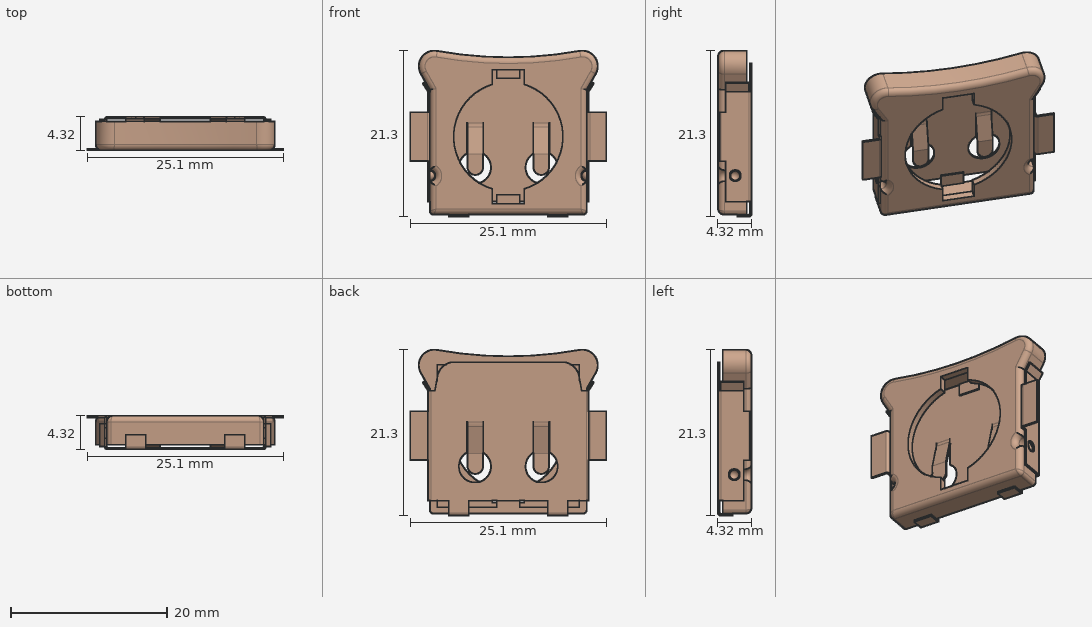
import cadquery as cq
import math

SIDES = (-1, 1)

housing_depth = 3.72
half_width = 10.06
bottom_z = -10.0
ear_radius = 2.0
ear_x = 9.48
ear_z = 9.03
flank_start_z = 6.0
top_middle_z = 10.18
front_round = 0.78
bottom_corner_round = 0.5

front_wall = 1.0
side_wall = 0.95
bottom_wall = 0.85
coin_window_radius = 7.0
slot_half_width = 2.04
slot_half_height = 8.57
lip_half_width = 1.49
lip_inner_z = 7.45
lip_thickness = 0.2
groove_radius = 0.72
groove_z = -5.0

sheet = 0.25
bend_inner_radius = 0.1
bend_outer_radius = bend_inner_radius + sheet
back_y = 4.32
plate_front_y = back_y - sheet
wall_outer_x = half_width + sheet
wall_front_y = 1.0
wall_top_z = 5.77
wall_bottom_z = -8.32

crown_z = 9.43
crown_corner_radius = 2.2
crown_corner_x = 6.9
crown_base_x = 9.4

flare_rise = 1.2
flare_run = 0.9
tab_half_height = 3.15
tab_end_x = 12.575
foot_inner_x = 5.04
foot_outer_x = 7.63
foot_front_y = 2.45

dimple_y = 2.22
dimple_radius = 0.65
dimple_hollow_radius = 0.62
dimple_rim_radius = 0.73

finger_inner_x = 3.21
finger_width = 2.03
finger_side_gap = 0.06
finger_root_z = 1.75
finger_bend_radius = 1.82
finger_angle = math.radians(14.9)
finger_knee_z = -2.2
finger_tip_z = -4.92
finger_tip_flat = 0.004
finger_hole_x = 4.28
finger_hole_z = -3.95
finger_hole_radius = 2.05


def front_plane(y):
    """Sketch plane in X and Z at depth y; extruding by a negative length goes toward +Y."""
    return cq.Workplane("XZ", origin=(0, y, 0))


def box(x_range, y_range, z_range):
    """Block between two limits on each axis."""
    low, high = zip(*(sorted(limits) for limits in (x_range, y_range, z_range)))
    size = [b - a for a, b in zip(low, high)]
    return cq.Workplane("XY").box(*size, centered=False).translate(low)


def tangent_point(point, center, radius, turn):
    """Where a line from an outside point touches a circle; turn is +1 or -1 for the side it passes."""
    dx = center[0] - point[0]
    dz = center[1] - point[1]
    distance = math.hypot(dx, dz)
    length = math.sqrt(distance**2 - radius**2)
    angle = math.atan2(dz, dx) + turn * math.asin(radius / distance)
    return (point[0] + length * math.cos(angle), point[1] + length * math.sin(angle))


def mirrored(point):
    return (-point[0], point[1])


def housing_blank():
    """Block with two ears joined by a hollow top arc, its front rim rounded over."""
    flank_start = (half_width, flank_start_z)
    ear_center = (ear_x, ear_z)
    flank_end = tangent_point(flank_start, ear_center, ear_radius, -1)

    drop = top_middle_z - ear_z
    top_radius = (ear_x**2 + drop**2 - ear_radius**2) / (2 * (ear_radius - drop))
    lean = math.asin(ear_x / (top_radius + ear_radius))
    ear_top = (ear_x - ear_radius * math.sin(lean), ear_z + ear_radius * math.cos(lean))
    diagonal = ear_radius * math.sqrt(0.5)
    ear_outer = (ear_x + diagonal, ear_z + diagonal)

    outline = (
        front_plane(0)
        .moveTo(-half_width, bottom_z)
        .lineTo(half_width, bottom_z)
        .lineTo(*flank_start)
        .lineTo(*flank_end)
        .threePointArc(ear_outer, ear_top)
        .threePointArc((0, top_middle_z), mirrored(ear_top))
        .threePointArc(mirrored(ear_outer), mirrored(flank_end))
        .lineTo(*mirrored(flank_start))
        .close()
    )
    blank = outline.extrude(-housing_depth)
    grooves = (
        front_plane(0)
        .pushPoints([(side * half_width, groove_z) for side in SIDES])
        .circle(groove_radius)
        .extrude(-housing_depth)
    )
    blank = blank.cut(grooves)
    blank = blank.faces("<Y").edges().fillet(front_round)
    return blank.edges("|Y and <Z").fillet(bottom_corner_round)


def coin_cavity():
    """Pocket open at the back, kept clear of the walls around the side grooves."""
    half_cavity = half_width - side_wall
    cavity_y = (front_wall, housing_depth)
    cavity = box((-half_cavity, half_cavity), cavity_y, (bottom_z + bottom_wall, half_cavity))
    groove_walls = (
        front_plane(front_wall)
        .pushPoints([(side * half_width, groove_z) for side in SIDES])
        .circle(groove_radius + side_wall)
        .extrude(-(housing_depth - front_wall))
    )
    return cavity.cut(groove_walls)


def front_window():
    """Round window with a slot running past it at top and bottom."""
    window = front_plane(0).circle(coin_window_radius).extrude(-front_wall)
    slot = box(
        (-slot_half_width, slot_half_width), (0, front_wall), (-slot_half_height, slot_half_height)
    )
    return window.union(slot)


def make_housing():
    housing = housing_blank().cut(coin_cavity()).cut(front_window())
    lip_x = (-lip_half_width, lip_half_width)
    lip_y = (housing_depth - lip_thickness, housing_depth)
    bottom_lip = box(lip_x, lip_y, (bottom_z, -lip_inner_z))
    top_lip = box(lip_x, lip_y, (lip_inner_z, top_middle_z - side_wall / 2))
    return housing.union(bottom_lip).union(top_lip)


def channel():
    """Back plate and both side walls, bent from one sheet."""
    outer = (
        box((-wall_outer_x, wall_outer_x), (wall_front_y, back_y), (wall_bottom_z, wall_top_z))
        .edges("|Z and >Y")
        .fillet(bend_outer_radius)
    )
    inner = (
        box((-half_width, half_width), (wall_front_y, plate_front_y), (wall_bottom_z, wall_top_z))
        .edges("|Z and >Y")
        .fillet(bend_inner_radius)
    )
    return outer.cut(inner)


def plate_crown():
    """Top of the back plate, leaning in slightly from the side walls to large round corners."""
    base = (crown_base_x, wall_top_z)
    corner_center = (crown_corner_x, crown_z - crown_corner_radius)
    arc_start = tangent_point(base, corner_center, crown_corner_radius, -1)
    arc_end = (crown_corner_x, crown_z)
    diagonal = crown_corner_radius * math.sqrt(0.5)
    arc_middle = (corner_center[0] + diagonal, corner_center[1] + diagonal)
    return (
        front_plane(plate_front_y)
        .moveTo(*mirrored(base))
        .lineTo(*base)
        .lineTo(*arc_start)
        .threePointArc(arc_middle, arc_end)
        .lineTo(*mirrored(arc_end))
        .threePointArc(mirrored(arc_middle), mirrored(arc_start))
        .close()
        .extrude(-sheet)
    )


def flare():
    """Lead-in at the top of the right side wall, leaning outward."""
    length = math.hypot(flare_run, flare_rise)
    across = (sheet * flare_rise / length, -sheet * flare_run / length)
    tip_inner = (half_width + flare_run - across[0], wall_top_z + flare_rise)
    tip_outer = (tip_inner[0] + across[0], tip_inner[1] + across[1])
    return (
        front_plane(wall_front_y)
        .polyline([(half_width, wall_top_z), (wall_outer_x, wall_top_z), tip_outer, tip_inner])
        .close()
        .extrude(-(back_y - bend_outer_radius - wall_front_y))
    )


def solder_tab():
    """Tab bent outward from the front of the right side wall, flush with the housing front."""
    bend_x = half_width + bend_outer_radius
    inner_mid = bend_inner_radius * math.sqrt(0.5)
    outer_mid = bend_outer_radius * math.sqrt(0.5)
    return (
        cq.Workplane("XY", origin=(0, 0, -tab_half_height))
        .moveTo(half_width, wall_front_y)
        .lineTo(half_width, bend_outer_radius)
        .threePointArc((bend_x - outer_mid, bend_outer_radius - outer_mid), (bend_x, 0))
        .lineTo(tab_end_x, 0)
        .lineTo(tab_end_x, sheet)
        .lineTo(bend_x, sheet)
        .threePointArc(
            (bend_x - inner_mid, bend_outer_radius - inner_mid), (wall_outer_x, bend_outer_radius)
        )
        .lineTo(wall_outer_x, wall_front_y)
        .close()
        .extrude(2 * tab_half_height)
    )


def foot():
    """Right leg below the back plate, bent forward under the housing."""
    foot_x = (foot_inner_x, foot_outer_x)
    outer = (
        box(foot_x, (foot_front_y, back_y), (bottom_z - sheet, wall_bottom_z))
        .edges("|X and >Y and <Z")
        .fillet(bend_outer_radius)
    )
    inner = (
        box(foot_x, (foot_front_y, plate_front_y), (bottom_z, wall_bottom_z))
        .edges("|X and >Y and <Z")
        .fillet(bend_inner_radius)
    )
    return outer.cut(inner)


def finger_opening():
    """Slot and round clearance hole around the right finger."""
    slot_outer_x = finger_inner_x + finger_width + finger_side_gap
    slot = box((finger_inner_x, slot_outer_x), (plate_front_y, back_y), (finger_hole_z, finger_root_z))
    hole = (
        front_plane(plate_front_y)
        .center(finger_hole_x, finger_hole_z)
        .circle(finger_hole_radius)
        .extrude(-sheet)
    )
    return slot.union(hole)


def finger():
    """Right contact finger: curves out of the plate, slopes forward and ends in a flat round tip."""
    bend_center_y = plate_front_y - finger_bend_radius
    back_radius = finger_bend_radius + sheet

    def on_bend(radius, angle):
        return (bend_center_y + radius * math.cos(angle), finger_root_z - radius * math.sin(angle))

    bend_end = on_bend(finger_bend_radius, finger_angle)
    contact_y = bend_end[0] - (bend_end[1] - finger_knee_z) * math.tan(finger_angle)
    back_knee_z = finger_knee_z - sheet * math.tan(finger_angle / 2)
    profile = (
        cq.Workplane("YZ", origin=(finger_inner_x, 0, 0))
        .moveTo(plate_front_y, finger_root_z)
        .threePointArc(on_bend(finger_bend_radius, finger_angle / 2), bend_end)
        .lineTo(contact_y, finger_knee_z)
        .lineTo(contact_y, finger_tip_z)
        .lineTo(contact_y + sheet, finger_tip_z)
        .lineTo(contact_y + sheet, back_knee_z)
        .lineTo(*on_bend(back_radius, finger_angle))
        .threePointArc(on_bend(back_radius, finger_angle / 2), (back_y, finger_root_z))
        .close()
        .extrude(finger_width)
    )
    return profile.edges("|Y and <Z").fillet((finger_width - finger_tip_flat) / 2)


def dimple_bulge():
    """Half ball on the inner face of the right side wall, reaching into the housing groove."""
    ball = cq.Workplane("XY").sphere(dimple_radius).translate((half_width, dimple_y, groove_z))
    wall_middle_x = half_width + sheet / 2
    reach = 2 * dimple_radius
    inward = box(
        (half_width - reach, wall_middle_x),
        (dimple_y - reach, dimple_y + reach),
        (groove_z - reach, groove_z + reach),
    )
    return ball.intersect(inward)


def dimple_hollow():
    """Hollow behind the bulge, with a bevelled rim on the outer face of the wall."""
    mouth = cq.Vector(wall_outer_x, dimple_y, groove_z)
    ball = cq.Workplane("XY").sphere(dimple_hollow_radius).translate(mouth)
    bevel_depth = dimple_rim_radius - dimple_hollow_radius
    rim = cq.Solid.makeCone(
        dimple_rim_radius, dimple_hollow_radius, bevel_depth, mouth, cq.Vector(-1, 0, 0)
    )
    return ball.union(cq.Workplane(rim))


def make_clip():
    clip = channel().union(plate_crown())
    for right_half in (flare(), solder_tab(), foot()):
        clip = clip.union(right_half).union(right_half.mirror("YZ"))
    opening = finger_opening()
    clip = clip.cut(opening).cut(opening.mirror("YZ"))
    right_finger = finger()
    clip = clip.union(right_finger).union(right_finger.mirror("YZ"))
    bulge = dimple_bulge()
    clip = clip.union(bulge).union(bulge.mirror("YZ"))
    hollow = dimple_hollow()
    clip = clip.cut(hollow).cut(hollow.mirror("YZ"))
    return clip


housing = make_housing()
clip = make_clip()
result = cq.Compound.makeCompound([housing.val(), clip.val()])